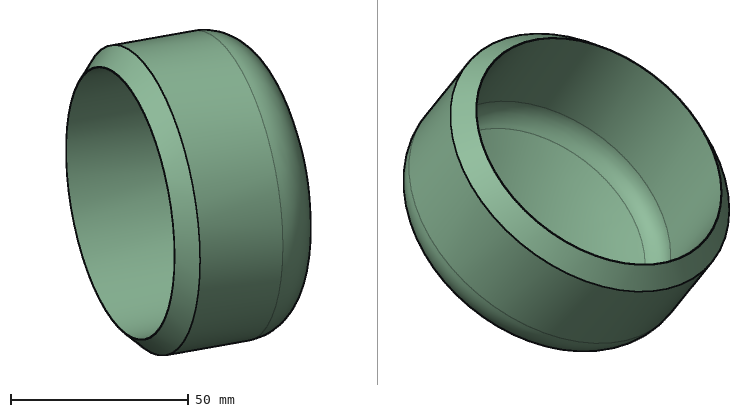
import cadquery as cq
import math

outer_diameter = 88.9
total_length = 50.8
wall = 5.5
crown_radius = 88.9
knuckle_radius = 13.2
bevel_length = 5.5
rim_land = 0.2

outer_radius = outer_diameter / 2
inner_radius = outer_radius - wall

knuckle_center_r = outer_radius - knuckle_radius
center_distance = crown_radius - knuckle_radius
crown_center_y = total_length - crown_radius
knuckle_center_y = crown_center_y + math.sqrt(center_distance**2 - knuckle_center_r**2)
tangent_angle = math.acos(knuckle_center_r / center_distance)


def knuckle_point(angle, offset):
    """Point on the knuckle, offset inward from the outside surface."""
    radius = knuckle_radius - offset
    return (
        knuckle_center_r + radius * math.cos(angle),
        knuckle_center_y + radius * math.sin(angle),
    )


def crown_point(angle, offset):
    """Point on the crown, offset inward from the outside surface."""
    radius = crown_radius - offset
    return (radius * math.cos(angle), crown_center_y + radius * math.sin(angle))


crown_middle_angle = (tangent_angle + math.pi / 2) / 2

profile = (
    cq.Workplane("XY")
    .moveTo(inner_radius, 0)
    .lineTo(inner_radius + rim_land, 0)
    .lineTo(outer_radius, bevel_length)
    .lineTo(outer_radius, knuckle_center_y)
    .threePointArc(knuckle_point(tangent_angle / 2, 0), knuckle_point(tangent_angle, 0))
    .threePointArc(crown_point(crown_middle_angle, 0), (0, total_length))
    .lineTo(0, total_length - wall)
    .threePointArc(crown_point(crown_middle_angle, wall), knuckle_point(tangent_angle, wall))
    .threePointArc(knuckle_point(tangent_angle / 2, wall), (inner_radius, knuckle_center_y))
    .close()
)

result = profile.revolve(360, (0, 0, 0), (0, 1, 0))